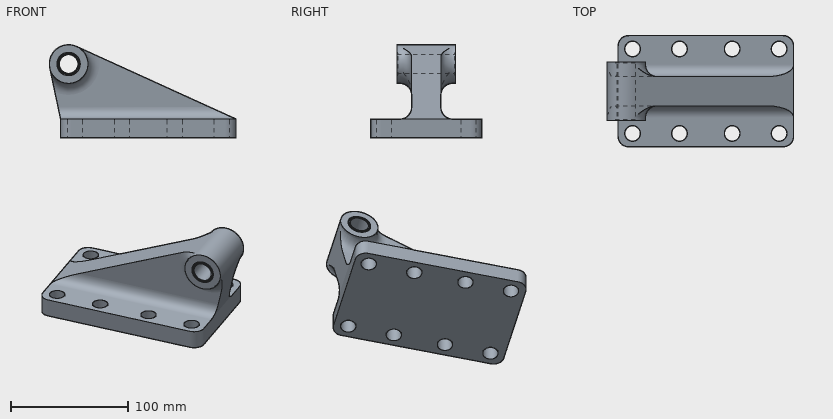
import cadquery as cq
import math

plate_length = 150.0
plate_width = 95.0
plate_height = 16.0
plate_corner_radius = 9.1

hole_diameter = 13.0
hole_row_spacing = 72.1
hole_end_margin = 12.5
hole_inner_margin = 52.5
hole_positions_x = (
    hole_end_margin,
    hole_inner_margin,
    plate_length - hole_inner_margin,
    plate_length - hole_end_margin,
)

boss_diameter = 33.0
boss_radius = boss_diameter / 2
boss_length = 50.1
overall_length = 159.5
overall_height = 79.5
boss_x = plate_length - overall_length + boss_radius
boss_z = overall_height - boss_radius

bore_diameter = 16.0
bushing_diameter = 18.0
seat_chamfer = 1.0

web_thickness = 25.0
blend_radius = 10.0


def tangent_point(x, z, turn):
    """Point where the line from (x, z) touches the boss; turn is +1 or -1."""
    distance = math.hypot(x - boss_x, z - boss_z)
    angle = math.atan2(z - boss_z, x - boss_x) + turn * math.acos(boss_radius / distance)
    return boss_x + boss_radius * math.cos(angle), boss_z + boss_radius * math.sin(angle)


def make_plate():
    return (
        cq.Workplane("XY")
        .rect(plate_length, plate_width)
        .extrude(plate_height)
        .edges("|Z")
        .fillet(plate_corner_radius)
        .translate((plate_length / 2, 0, 0))
    )


def make_boss():
    return (
        cq.Workplane("XZ", origin=(boss_x, 0, boss_z))
        .circle(boss_radius)
        .extrude(boss_length / 2, both=True)
    )


def make_side_envelope():
    """Side outline of the web: flanks rise from the plate ends and are tangent to the boss."""
    return (
        cq.Workplane("XZ")
        .moveTo(0, plate_height)
        .lineTo(plate_length, plate_height)
        .lineTo(*tangent_point(plate_length, plate_height, 1))
        .lineTo(boss_x, boss_z)
        .lineTo(*tangent_point(0, plate_height, -1))
        .close()
        .extrude(boss_length / 2, both=True)
    )


def make_web_section():
    """Upright wall with a concave blend onto the plate on both sides, running along X."""
    half_web = web_thickness / 2
    half_foot = half_web + blend_radius
    wall_base = plate_height + blend_radius
    arc_shift = blend_radius * (1 - math.sqrt(0.5))
    return (
        cq.Workplane("YZ", origin=(boss_x - boss_radius, 0, 0))
        .moveTo(-half_foot, plate_height)
        .lineTo(half_foot, plate_height)
        .threePointArc((half_web + arc_shift, plate_height + arc_shift), (half_web, wall_base))
        .lineTo(half_web, overall_height)
        .lineTo(-half_web, overall_height)
        .lineTo(-half_web, wall_base)
        .threePointArc((-half_web - arc_shift, plate_height + arc_shift), (-half_foot, plate_height))
        .close()
        .extrude(overall_length)
    )


def make_boss_flare():
    """Concave blend from the wall faces to the boss, turned about the boss axis."""
    half_web = web_thickness / 2
    flare_end = half_web + blend_radius
    flare_radius = boss_radius + blend_radius
    arc_shift = blend_radius * (1 - math.sqrt(0.5))
    return (
        cq.Workplane("XY")
        .moveTo(0, -flare_end)
        .lineTo(boss_radius, -flare_end)
        .threePointArc((boss_radius + arc_shift, -half_web - arc_shift), (flare_radius, -half_web))
        .lineTo(flare_radius, half_web)
        .threePointArc((boss_radius + arc_shift, half_web + arc_shift), (boss_radius, flare_end))
        .lineTo(0, flare_end)
        .close()
        .revolve(360, (0, 0, 0), (0, 1, 0))
        .translate((boss_x, 0, boss_z))
    )


def make_bore():
    return (
        cq.Workplane("XZ", origin=(boss_x, 0, boss_z))
        .circle(bore_diameter / 2)
        .extrude(boss_length / 2, both=True)
    )


def make_bushing_grooves():
    """Triangular ring around the bushing in each boss end face, left by the chamfered seat."""
    half_length = boss_length / 2
    bushing_radius = bushing_diameter / 2
    groove = (
        cq.Workplane("XY")
        .moveTo(bushing_radius, half_length - seat_chamfer)
        .lineTo(bushing_radius + seat_chamfer, half_length)
        .lineTo(bushing_radius, half_length)
        .close()
        .revolve(360, (0, 0, 0), (0, 1, 0))
    )
    return groove.union(groove.mirror("XZ")).translate((boss_x, 0, boss_z))


def make_mounting_holes():
    centres = [(x, side * hole_row_spacing / 2) for x in hole_positions_x for side in (-1, 1)]
    return cq.Workplane("XY").pushPoints(centres).circle(hole_diameter / 2).extrude(plate_height)


web = make_web_section().union(make_boss_flare()).intersect(make_side_envelope())
body = make_plate().union(web).union(make_boss())
result = body.cut(make_bore()).cut(make_bushing_grooves()).cut(make_mounting_holes())